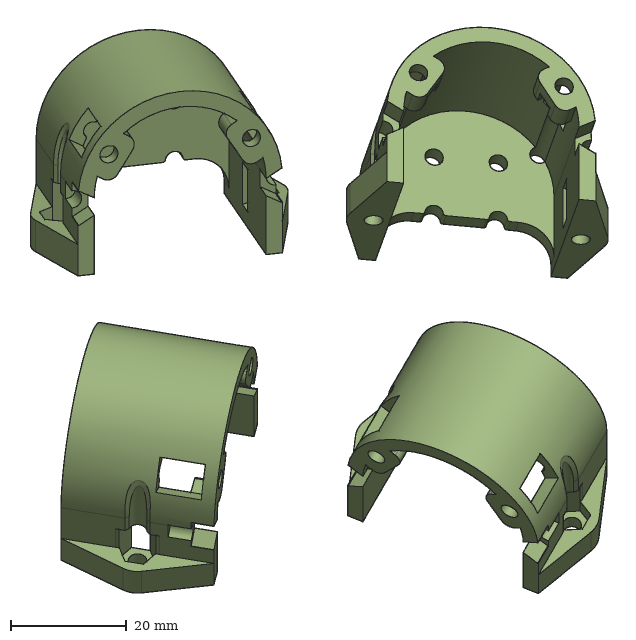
import cadquery as cq
import math

length = 27.0
outer_radius = 18.35
total_height = 32.7
total_width = 45.85
wall = 2.95

front_x = -length / 2
back_x = length / 2
axis_z = total_height - outer_radius
cavity_radius = outer_radius - wall

end_plate = 3.0
end_opening_height = 8.52
end_opening_radius = 6.2
screw_diameter = 3.2
motor_screw_offset = 5.65
screw_mouth_radius = 0.5

flange_height = 5.95
bolt_y = 18.2
flange_tip_radius = total_width / 2 - bolt_y
bolt_diameter = 3.25
groove_chamfer = 0.6

nut_corner_diameter = 6.5
nut_pocket_bottom = 3.0
nut_pocket_length = 8.0
nut_pocket_top = nut_pocket_bottom + nut_pocket_length
nut_mouth_half_width = 3.9

long_screw_y = 12.8
long_screw_z = 22.35
screw_distance = math.hypot(long_screw_y, long_screw_z - axis_z)
screw_angle = math.degrees(math.atan2(long_screw_z - axis_z, long_screw_y))
window_start_x = 3.0
boss_start_x = 8.6
boss_inner_distance = 11.65
boss_width = 8.9
boss_corner_radius = 1.92

side_screw_diameter = 3.25
side_screw_z = 12.8
side_screw_start_x = 5.4
side_nut_start_x = 9.5

pick_margin = 0.1


def section_plane(start_x, end_x):
    """Return a YZ workplane at start_x and the extrusion length up to end_x."""
    return cq.Workplane("YZ", origin=(start_x, 0, 0)), end_x - start_x


def x_cylinder(y, z, diameter, start_x, end_x):
    """Cylinder along X centred at (y, z)."""
    plane, depth = section_plane(start_x, end_x)
    return plane.center(y, z).circle(diameter / 2).extrude(depth)


def arch(radius, start_x, end_x):
    """Upright arch: half round above the axis, straight sides down to the base."""
    plane, depth = section_plane(start_x, end_x)
    return (
        plane.moveTo(-radius, 0)
        .lineTo(-radius, axis_z)
        .threePointArc((0, axis_z + radius), (radius, axis_z))
        .lineTo(radius, 0)
        .close()
        .extrude(depth)
    )


def flange_plate():
    """Both side flanges as one plate, tapering tangentially to round tips."""
    rise = outer_radius - bolt_y
    reach = math.hypot(back_x, rise)
    tangent_angle = math.atan2(rise, back_x) + math.acos(flange_tip_radius / reach)
    tangent_x = flange_tip_radius * math.cos(tangent_angle)
    tangent_y = bolt_y + flange_tip_radius * math.sin(tangent_angle)
    tip_y = total_width / 2
    return (
        cq.Workplane("XY")
        .moveTo(back_x, -outer_radius)
        .lineTo(back_x, outer_radius)
        .lineTo(tangent_x, tangent_y)
        .threePointArc((0, tip_y), (-tangent_x, tangent_y))
        .lineTo(front_x, outer_radius)
        .lineTo(front_x, -outer_radius)
        .lineTo(-tangent_x, -tangent_y)
        .threePointArc((0, -tip_y), (tangent_x, -tangent_y))
        .close()
        .extrude(flange_height)
    )


def bolt_cutter(side):
    """Vertical bolt bore, which leaves an open groove in the side of the shell."""
    return cq.Workplane("XY").center(0, side * bolt_y).circle(bolt_diameter / 2).extrude(total_height)


def nut_pocket(side):
    """Hexagonal pocket for the nut of a vertical bolt, sunk into the flange."""
    return (
        cq.Workplane("XY", origin=(0, side * bolt_y, nut_pocket_bottom))
        .polygon(6, nut_corner_diameter)
        .extrude(nut_pocket_length)
    )


def nut_mouth(side):
    """Rounded lips where the nut pocket breaks out of the flat side of the shell."""
    corner_x = nut_corner_diameter / 2
    lip_width = nut_mouth_half_width - corner_x
    lip_depth = outer_radius - bolt_y
    lip_radius = (lip_width**2 + lip_depth**2) / (2 * lip_depth)
    half = (
        cq.Workplane("XY", origin=(0, 0, flange_height))
        .moveTo(0, outer_radius)
        .lineTo(nut_mouth_half_width, outer_radius)
        .radiusArc((corner_x, bolt_y), -lip_radius)
        .lineTo(0, bolt_y)
        .close()
        .extrude(nut_pocket_top - flange_height)
    )
    mouth = half.union(half.mirror("YZ"))
    return mouth if side > 0 else mouth.mirror("XZ")


def radial_slab(side, start_x, end_x, inner_distance, outer_distance, width):
    """Block along X lying on the ray from the barrel axis through a long screw."""
    plane, depth = section_plane(start_x, end_x)
    slab = (
        plane.center(0, axis_z)
        .transformed(rotate=(0, 0, screw_angle))
        .center((inner_distance + outer_distance) / 2, 0)
        .rect(outer_distance - inner_distance, width)
        .extrude(depth)
    )
    return slab if side > 0 else slab.mirror("XZ")


def long_screw_boss(side):
    """Rounded boss inside the back of the cavity that carries a long screw and its nut."""
    middle_of_wall = outer_radius - wall / 2
    boss = radial_slab(side, boss_start_x, back_x, boss_inner_distance, middle_of_wall, boss_width)
    return boss.edges("|X").fillet(boss_corner_radius)


def nut_window(side):
    """Hexagonal nut seat on the long screw, open radially to both sides."""
    end_x = window_start_x + nut_pocket_length
    plane, depth = section_plane(window_start_x, end_x)
    seat = (
        plane.center(long_screw_y, long_screw_z)
        .transformed(rotate=(0, 0, screw_angle + 90))
        .polygon(6, nut_corner_diameter)
        .extrude(depth)
    )
    if side < 0:
        seat = seat.mirror("XZ")
    chute = radial_slab(side, window_start_x, end_x, screw_distance, total_height, nut_corner_diameter)
    inner_gap = radial_slab(
        side, window_start_x, end_x, boss_inner_distance, screw_distance, nut_corner_diameter / 2
    )
    return seat.union(chute).union(inner_gap)


def side_screw_cutter(side):
    """Half-open bore along X in the side wall, ending in a hexagonal nut pocket at the back."""
    bore = x_cylinder(side * bolt_y, side_screw_z, side_screw_diameter, side_screw_start_x, back_x)
    plane, depth = section_plane(side_nut_start_x, back_x)
    nut = (
        plane.center(side * bolt_y, side_screw_z)
        .transformed(rotate=(0, 0, 90))
        .polygon(6, nut_corner_diameter)
        .extrude(depth)
    )
    return bore.union(nut)


def end_plate_opening():
    """Round-shouldered opening with the lower motor screws breaking into its ceiling."""
    plane, depth = section_plane(front_x, front_x + end_plate)
    opening = (
        plane.center(0, end_opening_height / 2)
        .rect(2 * cavity_radius, end_opening_height)
        .extrude(depth)
        .edges("|X and >Z")
        .fillet(end_opening_radius)
    )
    for side in (-1, 1):
        opening = opening.union(
            x_cylinder(
                side * motor_screw_offset,
                axis_z - motor_screw_offset,
                screw_diameter,
                front_x,
                front_x + end_plate,
            )
        )
    mouth_reach = motor_screw_offset + screw_diameter / 2 + pick_margin
    mouths = cq.selectors.BoxSelector(
        (front_x, -mouth_reach, end_opening_height - pick_margin),
        (front_x + end_plate, mouth_reach, end_opening_height + pick_margin),
    )
    return opening.edges("|X").edges(mouths).fillet(screw_mouth_radius)


result = arch(outer_radius, front_x, back_x)
for side in (-1, 1):
    result = result.cut(bolt_cutter(side))
groove_edges = cq.selectors.BoxSelector(
    (-bolt_diameter, -total_width, pick_margin), (bolt_diameter, total_width, total_height - pick_margin)
)
result = result.edges(groove_edges).chamfer(groove_chamfer)

result = result.union(flange_plate())
result = result.cut(arch(cavity_radius, front_x + end_plate, back_x))
result = result.cut(end_plate_opening())
for side in (-1, 1):
    result = result.union(long_screw_boss(side))

for side in (-1, 1):
    upper_motor_screw = x_cylinder(
        side * motor_screw_offset, axis_z + motor_screw_offset, screw_diameter, front_x, front_x + end_plate
    )
    long_screw = x_cylinder(side * long_screw_y, long_screw_z, screw_diameter, front_x, back_x)
    for cutter in (
        bolt_cutter(side),
        nut_pocket(side),
        nut_mouth(side),
        upper_motor_screw,
        long_screw,
        nut_window(side),
        side_screw_cutter(side),
    ):
        result = result.cut(cutter)